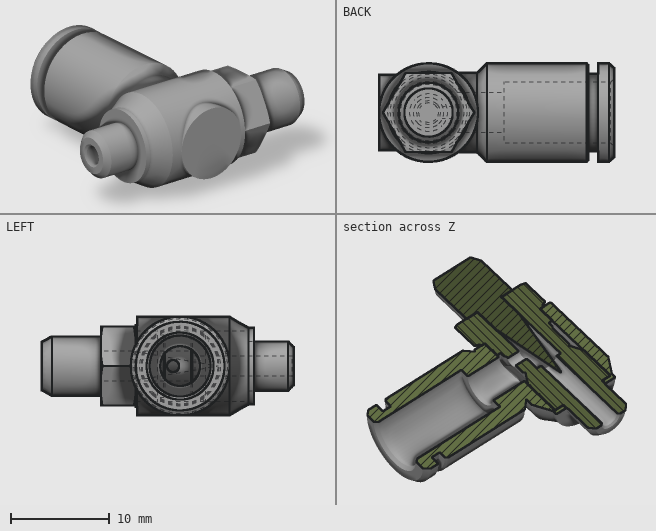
import cadquery as cq
import math


BARREL_R = 5.0
BARREL_TOP_Y = 4.34
BARREL_CONE_Y = -4.97
BARREL_RIM_Y = -6.94
BARREL_RIM_R = 3.88
BARREL_END_Y = -7.5
BARREL_BORE_R = 3.57

SOCKET_R = BARREL_R
SOCKET_END_X = -16.17
SOCKET_EDGE_CHAMFER = 0.2
SOCKET_CONE_X = -5.9
BRANCH_R = 4.03
BOSS_R = 3.82
BOSS_END_X = 5.0
PORT_R = 2.01
TUBE_SEAT_X = -7.65

COLLAR_END_X = -18.8
COLLAR_BACK_X = -17.15
COLLAR_CHAMFER_X = 0.55
COLLAR_CHAMFER_R = 0.5
NECK_R = 3.93
TUBE_R = 3.09
TUBE_CHAMFER_R = 0.3
TUBE_CHAMFER_X = 0.38

NOZZLE_R = 2.5
NOZZLE_END_Y = -11.5
NOZZLE_CHAMFER = 0.59
ORIFICE_R = 1.0
ORIFICE_CHAMFER = 0.2
GROOVE_R = 2.85
GROOVE_Y = -1.28
GROOVE_CONE_LENGTH = 1.28
WAIST_R = 3.0
WAIST_TOP_Y = 1.53
UPPER_WAIST_R = 3.15
UPPER_WAIST_TOP_Y = 2.3
WAIST_STEP_LENGTH = 0.15
CROSS_HOLE_R = 0.6
CROSS_HOLE_Y = 0.71
HEX_ACROSS_FLATS = 8.0
HEX_TOP_Y = 8.0
HEX_BASE_Y = 4.51
HEX_CHAMFER_R = 4.13
HEX_CHAMFER_DROP = 0.15
VALVE_BORE_R = 1.53
VALVE_BORE_END_Y = -1.53

KNOB_R = 3.0
KNOB_END_Y = 14.0
KNOB_TIP_R = 2.45
KNOB_TIP_LENGTH = 1.02
NEEDLE_TIP_Y = -3.82
NEEDLE_HALF_ANGLE = 10.0


def turned_about_x(points):
    """Solid of revolution about X from (x, radius) points."""
    return cq.Workplane("XY").polyline(points).close().revolve(360, (0, 0, 0), (1, 0, 0))


def turned_about_y(points):
    """Solid of revolution about Y from (radius, y) points."""
    return cq.Workplane("XY").polyline(points).close().revolve(360, (0, 0, 0), (0, 1, 0))


def make_housing():
    barrel = turned_about_y([
        (0, BARREL_TOP_Y),
        (BARREL_R, BARREL_TOP_Y),
        (BARREL_R, BARREL_CONE_Y),
        (BARREL_RIM_R, BARREL_RIM_Y),
        (BARREL_RIM_R, BARREL_END_Y),
        (0, BARREL_END_Y),
    ])
    collar_face_r = SOCKET_R - COLLAR_CHAMFER_R
    socket_cone_end_x = SOCKET_CONE_X + SOCKET_R - BRANCH_R
    socket = turned_about_x([
        (COLLAR_END_X, 0),
        (COLLAR_END_X, collar_face_r),
        (COLLAR_END_X + COLLAR_CHAMFER_X, SOCKET_R),
        (COLLAR_BACK_X, SOCKET_R),
        (COLLAR_BACK_X, NECK_R),
        (SOCKET_END_X, NECK_R),
        (SOCKET_END_X, SOCKET_R - SOCKET_EDGE_CHAMFER),
        (SOCKET_END_X + SOCKET_EDGE_CHAMFER, SOCKET_R),
        (SOCKET_CONE_X, SOCKET_R),
        (socket_cone_end_x, BRANCH_R),
        (0, BRANCH_R),
        (0, BOSS_R),
        (BOSS_END_X, BOSS_R),
        (BOSS_END_X, 0),
    ])
    tube_bore = turned_about_x([
        (COLLAR_END_X, 0),
        (COLLAR_END_X, TUBE_R + TUBE_CHAMFER_R),
        (COLLAR_END_X + TUBE_CHAMFER_X, TUBE_R),
        (TUBE_SEAT_X, TUBE_R),
        (TUBE_SEAT_X, PORT_R),
        (0, PORT_R),
        (0, 0),
    ])
    stem_bore = turned_about_y([
        (0, BARREL_TOP_Y),
        (BARREL_BORE_R, BARREL_TOP_Y),
        (BARREL_BORE_R, BARREL_RIM_Y),
        (NOZZLE_R, BARREL_RIM_Y),
        (NOZZLE_R, BARREL_END_Y),
        (0, BARREL_END_Y),
    ])
    return barrel.union(socket).cut(tube_bore).cut(stem_bore)


def make_hex():
    length = HEX_TOP_Y - HEX_BASE_Y
    corner_r = HEX_ACROSS_FLATS / math.sqrt(3)
    prism = (
        cq.Workplane("XZ", origin=(0, HEX_TOP_Y, 0))
        .polygon(6, 2 * corner_r)
        .extrude(length)
    )
    envelope = turned_about_y([
        (0, HEX_TOP_Y),
        (HEX_CHAMFER_R, HEX_TOP_Y),
        (corner_r, HEX_TOP_Y - HEX_CHAMFER_DROP),
        (corner_r, HEX_BASE_Y + HEX_CHAMFER_DROP),
        (HEX_CHAMFER_R, HEX_BASE_Y),
        (0, HEX_BASE_Y),
    ])
    return prism.intersect(envelope)


def make_screw():
    shank = turned_about_y([
        (0, HEX_BASE_Y),
        (HEX_CHAMFER_R, HEX_BASE_Y),
        (HEX_CHAMFER_R, BARREL_TOP_Y),
        (BARREL_BORE_R, BARREL_TOP_Y),
        (BARREL_BORE_R, UPPER_WAIST_TOP_Y),
        (UPPER_WAIST_R, UPPER_WAIST_TOP_Y),
        (UPPER_WAIST_R, WAIST_TOP_Y + WAIST_STEP_LENGTH),
        (WAIST_R, WAIST_TOP_Y),
        (WAIST_R, GROOVE_Y + WAIST_STEP_LENGTH),
        (GROOVE_R, GROOVE_Y),
        (BARREL_BORE_R, GROOVE_Y - GROOVE_CONE_LENGTH),
        (BARREL_BORE_R, BARREL_RIM_Y),
        (NOZZLE_R, BARREL_RIM_Y),
        (NOZZLE_R, NOZZLE_END_Y + NOZZLE_CHAMFER),
        (NOZZLE_R - NOZZLE_CHAMFER, NOZZLE_END_Y),
        (0, NOZZLE_END_Y),
    ])
    flow_bore = turned_about_y([
        (0, HEX_TOP_Y),
        (VALVE_BORE_R, HEX_TOP_Y),
        (VALVE_BORE_R, VALVE_BORE_END_Y),
        (ORIFICE_R, VALVE_BORE_END_Y),
        (ORIFICE_R, NOZZLE_END_Y + ORIFICE_CHAMFER),
        (ORIFICE_R + ORIFICE_CHAMFER, NOZZLE_END_Y),
        (0, NOZZLE_END_Y),
    ])
    cross_hole = (
        cq.Workplane("YZ")
        .center(CROSS_HOLE_Y, 0)
        .circle(CROSS_HOLE_R)
        .extrude(-BARREL_R)
    )
    return shank.union(make_hex()).cut(flow_bore).cut(cross_hole)


def make_needle():
    taper_length = VALVE_BORE_R / math.tan(math.radians(NEEDLE_HALF_ANGLE))
    return turned_about_y([
        (0, NEEDLE_TIP_Y),
        (VALVE_BORE_R, NEEDLE_TIP_Y + taper_length),
        (VALVE_BORE_R, HEX_TOP_Y),
        (KNOB_R, HEX_TOP_Y),
        (KNOB_R, KNOB_END_Y - KNOB_TIP_LENGTH),
        (KNOB_TIP_R, KNOB_END_Y),
        (0, KNOB_END_Y),
    ])


housing = make_housing()
screw = make_screw()
needle = make_needle()

result = cq.Compound.makeCompound([housing.val(), screw.val(), needle.val()])